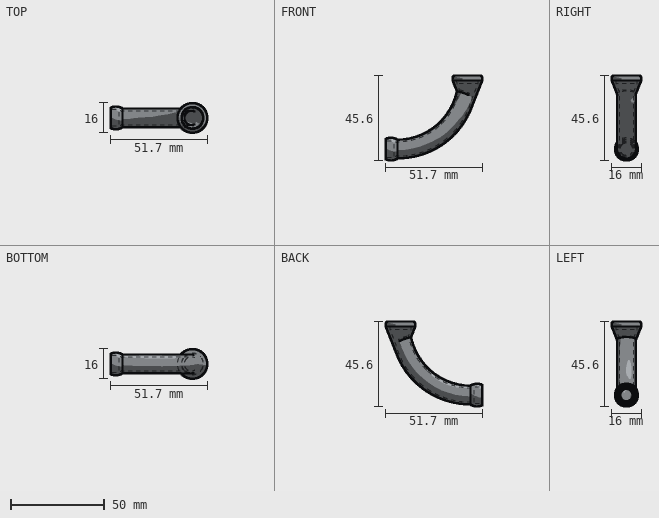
import cadquery as cq
import math

length = 51.7
height = 45.55

ball_radius = 6.15
ball_center_x = 2.9
ball_mouth_radius = 4.45
ball_throat_radius = 3.3
ball_mouth_depth = 4.4

head_diameter = 16.0
head_radius = head_diameter / 2
rim_round_width = 1.5
rim_round_height = 1.75
cone_top_depth = 2.7
cone_half_angle = 21.6
cone_height = 15.5
socket_mouth_radius = 5.85
socket_floor_radius = 5.7
socket_depth = 4.3

tube_radius = 5.05
tube_bore_radius = 3.8

head_x = length - head_radius
axis_z = ball_radius
tube_start_x = ball_center_x + math.sqrt(ball_radius**2 - tube_radius**2)
bend_radius = head_x - tube_start_x
bend_angle = 82.0
cone_slope = math.tan(math.radians(cone_half_angle))


def bent_rod(radius):
    """Round rod from the ball end, bending upwards about an axis parallel to Y."""
    return (
        cq.Workplane("YZ", origin=(tube_start_x, 0, axis_z))
        .circle(radius)
        .revolve(bend_angle, (0, bend_radius, 0), (-1, bend_radius, 0))
    )


def ball():
    """Ball cut flat at the mouth and at the joint with the tube."""
    mouth_edge_radius = math.sqrt(ball_radius**2 - ball_center_x**2)
    return (
        cq.Workplane("XY", origin=(0, 0, axis_z))
        .lineTo(0, mouth_edge_radius)
        .threePointArc((ball_center_x, ball_radius), (tube_start_x, tube_radius))
        .lineTo(tube_start_x, 0)
        .close()
        .revolve(360, (0, 0, 0), (1, 0, 0))
    )


def ball_mouth():
    """Straight opening followed by a cone that narrows to the throat at the tube."""
    return (
        cq.Workplane("XY", origin=(0, 0, axis_z))
        .lineTo(0, ball_mouth_radius)
        .lineTo(ball_mouth_depth, ball_mouth_radius)
        .lineTo(tube_start_x, ball_throat_radius)
        .lineTo(tube_start_x, 0)
        .close()
        .revolve(360, (0, 0, 0), (1, 0, 0))
    )


def turned_about_head_axis(profile):
    """Turn a (radius, height) half-profile about the vertical head axis."""
    return profile.close().revolve(360, (0, 0, 0), (0, 1, 0))


def head():
    cone_end_radius = head_radius - cone_height * cone_slope
    diagonal = math.sqrt(0.5)
    rim_inner_radius = head_radius - rim_round_width
    rim_middle = (
        rim_inner_radius + rim_round_width * diagonal,
        -rim_round_height * (1 - diagonal),
    )
    return turned_about_head_axis(
        cq.Workplane("XZ", origin=(head_x, 0, height))
        .lineTo(rim_inner_radius, 0)
        .threePointArc(rim_middle, (head_radius, -rim_round_height))
        .lineTo(head_radius, -cone_top_depth)
        .lineTo(cone_end_radius, -cone_top_depth - cone_height)
        .lineTo(0, -cone_top_depth - cone_height)
    )


def socket():
    """Slightly tapered socket followed by a cone down to its apex."""
    return turned_about_head_axis(
        cq.Workplane("XZ", origin=(head_x, 0, height))
        .lineTo(socket_mouth_radius, 0)
        .lineTo(socket_floor_radius, -socket_depth)
        .lineTo(0, -socket_depth - socket_floor_radius / cone_slope)
    )


outside = bent_rod(tube_radius).union(ball()).union(head())
result = outside.cut(bent_rod(tube_bore_radius)).cut(ball_mouth()).cut(socket())